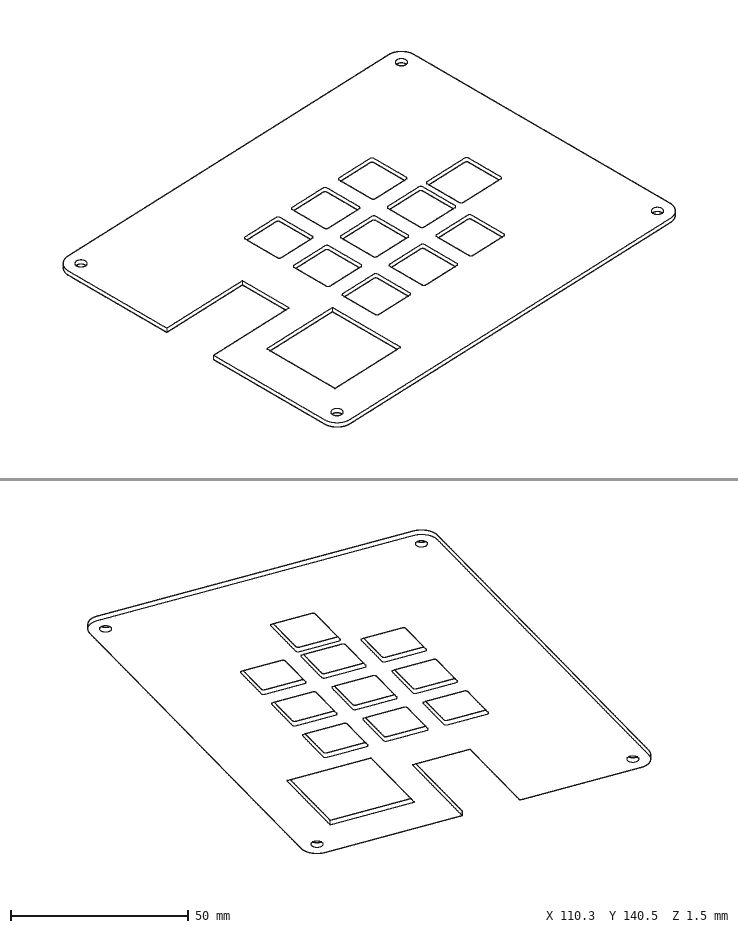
import cadquery as cq

plate_width = 110.3
plate_length = 140.5
plate_thickness = 1.5
corner_radius = 5.0

hole_diameter = 3.4

key_size = 14.0
key_pitch = 19.1
key_corner_radius = 0.7
grid_center_x = 0.8
grid_center_y = 1.3

tall_key_length = 16.7
tall_key_center_y = 37.6

window_size = 26.7
window_center_x = 28.7
window_center_y = -44.2

notch_width = 18.3
notch_depth = 30.8
notch_center_x = -2.5


def block(width, length, center_x, center_y):
    """Rectangular prism through the plate thickness."""
    return (
        cq.Workplane("XY")
        .center(center_x, center_y)
        .rect(width, length)
        .extrude(plate_thickness)
    )


def key_cutter(length, center_x, center_y):
    """Key opening with slightly rounded corners."""
    return block(key_size, length, center_x, center_y).edges("|Z").fillet(key_corner_radius)


result = block(plate_width, plate_length, 0, 0).edges("|Z").fillet(corner_radius)

hole_spacing_x = plate_width - 2 * corner_radius
hole_spacing_y = plate_length - 2 * corner_radius
result = (
    result.faces(">Z")
    .workplane(origin=(0, 0, plate_thickness))
    .rect(hole_spacing_x, hole_spacing_y, forConstruction=True)
    .vertices()
    .hole(hole_diameter)
)

for column in (-1, 0, 1):
    for row in (-1, 0, 1):
        key_x = grid_center_x + column * key_pitch
        key_y = grid_center_y + row * key_pitch
        result = result.cut(key_cutter(key_size, key_x, key_y))

result = result.cut(key_cutter(tall_key_length, grid_center_x, tall_key_center_y))

result = result.cut(block(window_size, window_size, window_center_x, window_center_y))

notch_center_y = (notch_depth - plate_length) / 2
result = result.cut(block(notch_width, notch_depth, notch_center_x, notch_center_y))